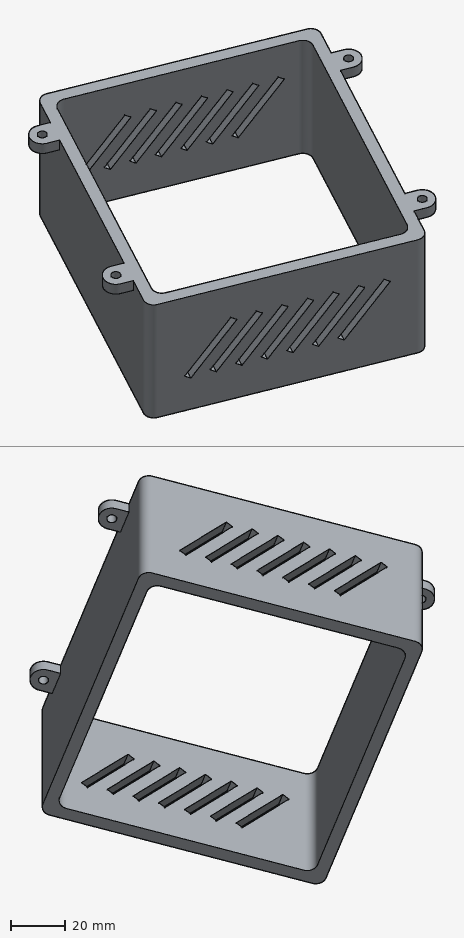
import cadquery as cq

frame_length = 120.0
frame_height = 57.5
overall_width = 130.0
wall = 5.0
corner_radius = 4.0

tab_width = 10.0
tab_thickness = 5.0
tab_spacing = 80.0
tab_hole_diameter = 3.6
tab_radius = tab_width / 2
tab_hole_y = overall_width / 2 - tab_radius
frame_width = overall_width - 2 * tab_width

slot_count = 7
slot_pitch = 10.0
slot_length = 30.0
slot_width = 3.0
slot_tilt = 37.0


def rounded_block(length, width):
    """Full-height block with rounded vertical edges, standing on Z = 0."""
    block = cq.Workplane("XY").rect(length, width).extrude(frame_height)
    return block.edges("|Z").fillet(corner_radius)


def screw_tab(x, side):
    """Round-ended tab reaching out from the wall at side = +1 or -1 along Y."""
    inner_y = side * (frame_width / 2 - wall / 2)
    hole_y = side * tab_hole_y
    plane = cq.Workplane("XY", origin=(x, 0, frame_height - tab_thickness))
    return (
        plane.moveTo(-tab_radius, inner_y)
        .lineTo(-tab_radius, hole_y)
        .threePointArc((0, hole_y + side * tab_radius), (tab_radius, hole_y))
        .lineTo(tab_radius, inner_y)
        .close()
        .extrude(tab_thickness)
    )


def vent_slot(y):
    """Cutter for one slot, leaning toward +Y and long enough for both end walls."""
    slot = cq.Workplane("XY").box(2 * frame_length, slot_width, slot_length)
    slot = slot.rotate((0, 0, 0), (1, 0, 0), -slot_tilt)
    return slot.translate((0, y, frame_height / 2))


cavity = rounded_block(frame_length - 2 * wall, frame_width - 2 * wall)
result = rounded_block(frame_length, frame_width).cut(cavity)

for side in (-1, 1):
    for x in (-tab_spacing / 2, tab_spacing / 2):
        result = result.union(screw_tab(x, side))

screw_holes = (
    cq.Workplane("XY")
    .rect(tab_spacing, 2 * tab_hole_y, forConstruction=True)
    .vertices()
    .circle(tab_hole_diameter / 2)
    .extrude(frame_height)
)
result = result.cut(screw_holes)

for index in range(slot_count):
    slot_y = (index - (slot_count - 1) / 2) * slot_pitch
    result = result.cut(vent_slot(slot_y))